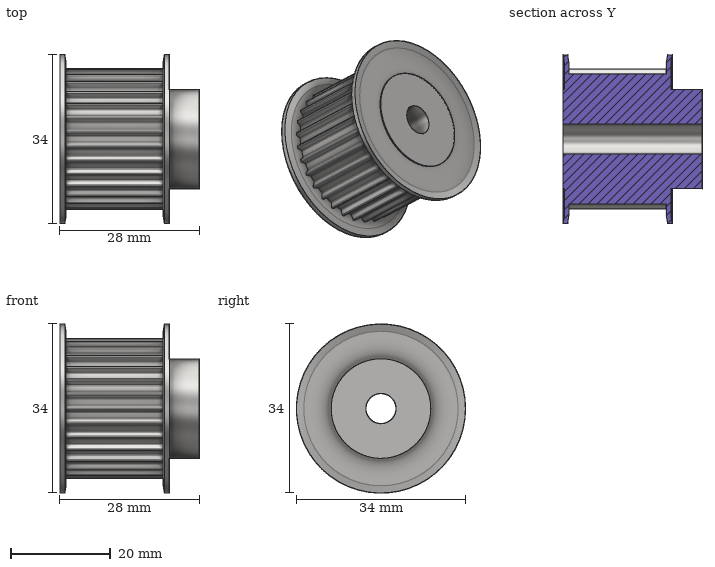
import cadquery as cq
import math

TOTAL_LENGTH = 28.0
BELT_SECTION_LENGTH = 22.0

HUB_RADIUS = 10.0
BORE_RADIUS = 3.0

FLANGE_RADIUS = 17.0
FLANGE_FLAT_RADIUS = 15.5
FLANGE_THICKNESS = 1.0
LIP_OFFSET = 0.25

TOOTH_COUNT = 30
TIP_RADIUS = 14.15
ROOT_RADIUS = 13.1
TIP_HALF_WIDTH = 0.22
ROOT_HALF_WIDTH = 0.68
TIP_FILLET = 0.25
ROOT_FILLET = 0.22

PITCH_ANGLE = 2 * math.pi / TOOTH_COUNT
TIP_HALF_ANGLE = math.asin(TIP_HALF_WIDTH / TIP_RADIUS)
ROOT_HALF_ANGLE = math.asin(ROOT_HALF_WIDTH / ROOT_RADIUS)
MID_RADIUS = (TIP_RADIUS + ROOT_RADIUS) / 2


def polar(radius, angle):
    """Point in the YZ plane at an angle measured from +Y."""
    return (radius * math.cos(angle), radius * math.sin(angle))


def edges_at(body, is_tip):
    """Lengthwise tooth edges, either at the tips or at the roots."""
    lengthwise = body.edges("|X")

    def on_wanted_side(edge):
        center = edge.Center()
        return (math.hypot(center.y, center.z) > MID_RADIUS) == is_tip

    return lengthwise.filter(on_wanted_side)


def make_drum():
    """Toothed drum, with one tooth centred on +Y and rounded tips and roots."""
    start = FLANGE_THICKNESS
    length = BELT_SECTION_LENGTH - 2 * FLANGE_THICKNESS
    outline = cq.Workplane("YZ", origin=(start, 0, 0))
    outline = outline.moveTo(*polar(ROOT_RADIUS, -ROOT_HALF_ANGLE))
    for index in range(TOOTH_COUNT):
        middle = index * PITCH_ANGLE
        outline = outline.lineTo(*polar(TIP_RADIUS, middle - TIP_HALF_ANGLE))
        outline = outline.threePointArc(
            polar(TIP_RADIUS, middle), polar(TIP_RADIUS, middle + TIP_HALF_ANGLE)
        )
        outline = outline.lineTo(*polar(ROOT_RADIUS, middle + ROOT_HALF_ANGLE))
        outline = outline.threePointArc(
            polar(ROOT_RADIUS, middle + PITCH_ANGLE / 2),
            polar(ROOT_RADIUS, middle + PITCH_ANGLE - ROOT_HALF_ANGLE),
        )
    drum = outline.close().extrude(length)
    drum = edges_at(drum, is_tip=True).fillet(TIP_FILLET)
    return edges_at(drum, is_tip=False).fillet(ROOT_FILLET)


def make_flange():
    """Flange at the X = 0 end, with its lip bent toward -X."""
    profile = [
        (LIP_OFFSET, 0),
        (LIP_OFFSET, FLANGE_FLAT_RADIUS),
        (0, FLANGE_RADIUS),
        (FLANGE_THICKNESS, FLANGE_RADIUS),
        (FLANGE_THICKNESS + LIP_OFFSET, FLANGE_FLAT_RADIUS),
        (FLANGE_THICKNESS + LIP_OFFSET, 0),
    ]
    return cq.Workplane("XY").polyline(profile).close().revolve(360, (0, 0), (1, 0))


near_flange = make_flange()
far_flange = near_flange.mirror("YZ").translate((BELT_SECTION_LENGTH, 0, 0))
hub = cq.Workplane("YZ").circle(HUB_RADIUS).extrude(TOTAL_LENGTH)
bore = cq.Workplane("YZ").circle(BORE_RADIUS).extrude(TOTAL_LENGTH)

result = make_drum().union(near_flange).union(far_flange).union(hub).cut(bore)